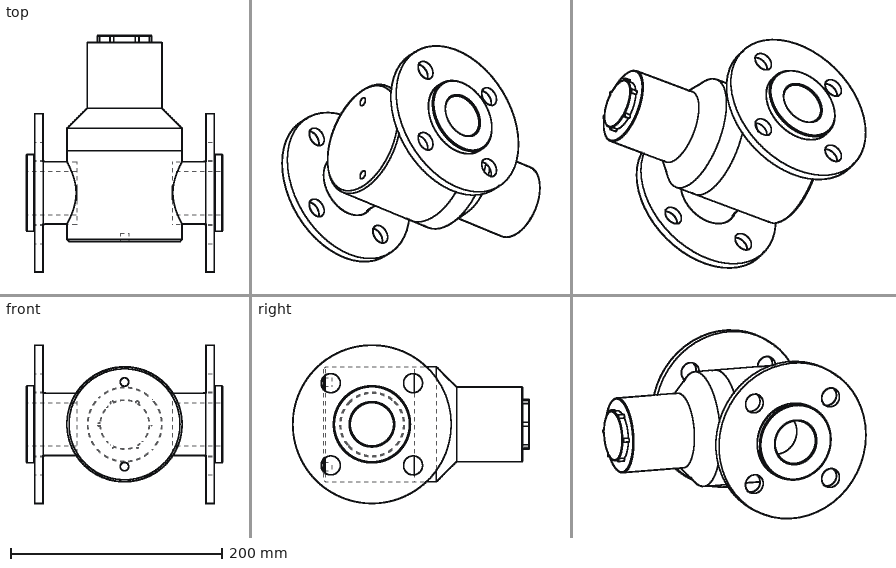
import cadquery as cq
import math


BARREL_DIA = 109.0
BARREL_FRONT_Y = -46.0
JOINT_Y = 40.0
BARREL_CHAMFER = 2.0
SPANNER_HOLE_DIA = 7.94
SPANNER_HOLE_SPACING = 80.0
SPANNER_HOLE_DEPTH = 8.0

TUBE_DIA = 71.0
CONE_START_Y = 61.0
CONE_END_Y = CONE_START_Y + (BARREL_DIA - TUBE_DIA) / 2
TUBE_END_Y = 142.6
TUBE_CHAMFER = 0.8

KNOB_END_Y = 148.9
KNOB_DIA = 47.0
RIB_COUNT = 6
RIB_DIA = 3.7
RIB_CIRCLE_DIA = 47.8
KNOB_CHAMFER = 0.6

FACE_X = 93.0
FACE_DIA = 73.0
FACE_THICKNESS = 8.0
FACE_CHAMFER = 1.0
NECK_DIA = 59.1
SHOULDER_DIA = 61.0
NECK_BLEND_RADIUS = 4.0
NECK_SEAT_X = 45.0
BORE_DIA = 41.0
BORE_CHAMFER = 1.0

FLANGE_DIA = 150.0
FLANGE_THICKNESS = 8.0
FLANGE_BORE_DIA = 61.5
FLANGE_OUTER_X = FACE_X - FACE_THICKNESS
FLANGE_INNER_X = FLANGE_OUTER_X - FLANGE_THICKNESS
BOLT_HOLE_DIA = 18.0
BOLT_CIRCLE_DIA = 110.0
BOLT_COUNT = 4


def rod_along_y(diameter, start, end):
    """Cylinder on the stem axis between two Y positions."""
    return cq.Workplane("XZ", origin=(0, start, 0)).circle(diameter / 2).extrude(start - end)


def rod_along_x(diameter, start, end):
    """Cylinder on the flow axis between two X positions."""
    return cq.Workplane("YZ", origin=(start, 0, 0)).circle(diameter / 2).extrude(end - start)


def make_barrel():
    barrel = rod_along_y(BARREL_DIA, BARREL_FRONT_Y, JOINT_Y)
    barrel = barrel.faces("<Y").chamfer(BARREL_CHAMFER)
    for side in (-1, 1):
        barrel = barrel.cut(rod_along_x(NECK_DIA, side * NECK_SEAT_X, side * BARREL_DIA / 2))
        spanner_hole = rod_along_y(SPANNER_HOLE_DIA, BARREL_FRONT_Y, BARREL_FRONT_Y + SPANNER_HOLE_DEPTH)
        barrel = barrel.cut(spanner_hole.translate((0, 0, side * SPANNER_HOLE_SPACING / 2)))
    return barrel


def make_bonnet():
    return (
        cq.Workplane("XY")
        .moveTo(0, JOINT_Y)
        .lineTo(BARREL_DIA / 2, JOINT_Y)
        .lineTo(BARREL_DIA / 2, CONE_START_Y)
        .lineTo(TUBE_DIA / 2, CONE_END_Y)
        .lineTo(TUBE_DIA / 2, TUBE_END_Y - TUBE_CHAMFER)
        .lineTo(TUBE_DIA / 2 - TUBE_CHAMFER, TUBE_END_Y)
        .lineTo(0, TUBE_END_Y)
        .close()
        .revolve(360, (0, 0, 0), (0, 1, 0))
    )


def make_knob():
    knob = rod_along_y(KNOB_DIA, TUBE_END_Y, KNOB_END_Y).faces(">Y").chamfer(KNOB_CHAMFER)
    rib = rod_along_y(RIB_DIA, TUBE_END_Y, KNOB_END_Y).faces(">Y").chamfer(KNOB_CHAMFER)
    rib = rib.translate((RIB_CIRCLE_DIA / 2, 0, 0))
    for index in range(RIB_COUNT):
        knob = knob.union(rib.rotate((0, 0, 0), (0, 1, 0), index * 360 / RIB_COUNT))
    return knob


def make_stub_end():
    """Stub end on the +X side."""
    neck_radius = NECK_DIA / 2
    shoulder_radius = SHOULDER_DIA / 2
    bore_radius = BORE_DIA / 2
    face_radius = FACE_DIA / 2

    blend_rise = shoulder_radius - neck_radius
    blend_angle = math.acos(1 - blend_rise / NECK_BLEND_RADIUS)
    blend_start_x = FLANGE_INNER_X - NECK_BLEND_RADIUS * math.sin(blend_angle)
    blend_middle = (
        blend_start_x + NECK_BLEND_RADIUS * math.sin(blend_angle / 2),
        neck_radius + NECK_BLEND_RADIUS * (1 - math.cos(blend_angle / 2)),
    )
    return (
        cq.Workplane("XY")
        .moveTo(NECK_SEAT_X, bore_radius)
        .lineTo(NECK_SEAT_X, neck_radius)
        .lineTo(blend_start_x, neck_radius)
        .threePointArc(blend_middle, (FLANGE_INNER_X, shoulder_radius))
        .lineTo(FLANGE_OUTER_X, shoulder_radius)
        .lineTo(FLANGE_OUTER_X, face_radius - FACE_CHAMFER)
        .lineTo(FLANGE_OUTER_X + FACE_CHAMFER, face_radius)
        .lineTo(FACE_X - FACE_CHAMFER, face_radius)
        .lineTo(FACE_X, face_radius - FACE_CHAMFER)
        .lineTo(FACE_X, bore_radius + BORE_CHAMFER)
        .lineTo(FACE_X - BORE_CHAMFER, bore_radius)
        .close()
        .revolve(360, (0, 0, 0), (1, 0, 0))
    )


def make_flange():
    """Loose flange on the +X side."""
    flange = rod_along_x(FLANGE_DIA, FLANGE_INNER_X, FLANGE_OUTER_X)
    flange = flange.cut(rod_along_x(FLANGE_BORE_DIA, FLANGE_INNER_X, FLANGE_OUTER_X))
    bolt_holes = (
        cq.Workplane("YZ", origin=(FLANGE_INNER_X, 0, 0))
        .polarArray(BOLT_CIRCLE_DIA / 2, 180 / BOLT_COUNT, 360, BOLT_COUNT)
        .circle(BOLT_HOLE_DIA / 2)
        .extrude(FLANGE_THICKNESS)
    )
    return flange.cut(bolt_holes)


barrel = make_barrel()
bonnet = make_bonnet()
knob = make_knob()

stub_ends = []
flanges = []
for turn in (0, 180):
    stub_ends.append(make_stub_end().rotate((0, 0, 0), (0, 0, 1), turn).val())
    flanges.append(make_flange().rotate((0, 0, 0), (0, 0, 1), turn).val())

result = cq.Compound.makeCompound([barrel.val(), bonnet.val(), knob.val(), *stub_ends, *flanges])